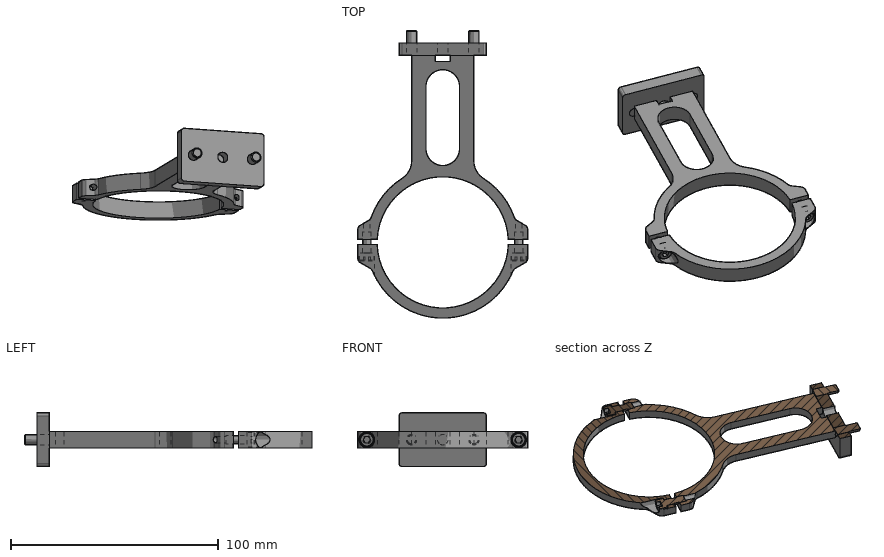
import cadquery as cq
import math

THICKNESS = 8.0
BORE_RADIUS = 31.5
RING_RADIUS = 36.5
BRACKET_SPLIT = 1.5
CAP_SPLIT = 1.0

EAR_HALF_SPAN = 41.0
EAR_SLOPE = math.radians(30)
EAR_FILLET = 3.0
BRACKET_EAR_HEIGHT = 6.0
CAP_EAR_HEIGHT = 8.0

ARM_WIDTH = 30.0
ARM_END = 90.0
ARM_FILLET = 10.0
SLOT_WIDTH = 16.0
SLOT_LENGTH = 46.0
SLOT_CENTRE = 60.0
NOTCH_WIDTH = 7.0
NOTCH_DEPTH = 3.0

PLATE_WIDTH = 42.0
PLATE_HEIGHT = 26.0
PLATE_THICKNESS = 6.0
PLATE_CORNER_RADIUS = 1.5
PLATE_HOLE_DIAMETER = 5.0
PIN_DIAMETER = 5.0
PIN_LENGTH = 12.0
PIN_SPACING = ARM_WIDTH
PIN_CHAMFER = 0.5

SCREW_X = 36.5
SCREW_DIAMETER = 4.0
SCREW_LENGTH = 10.0
HEAD_DIAMETER = 7.0
HEAD_HEIGHT = 4.0
HEAD_CHAMFER = 0.5
SOCKET_ACROSS_FLATS = 3.0
SOCKET_DEPTH = 2.0
SEAT_THICKNESS = 4.0
SCREW_SEAT = -CAP_SPLIT - SEAT_THICKNESS
SCREW_TIP = SCREW_SEAT + SCREW_LENGTH
COUNTERBORE_DIAMETER = 7.5
TAP_DRILL_DIAMETER = 3.0

SIDES = (-1, 1)


def facing_y(x, y):
    """Workplane at (x, y, 0) that looks along +Y, with X kept as its own X."""
    return cq.Workplane(cq.Plane(origin=(x, y, 0), xDir=(1, 0, 0), normal=(0, 1, 0)))


def bar_along_y(diameter, x, y_start, y_end):
    """Round bar parallel to Y at mid thickness."""
    return facing_y(x, y_start).circle(diameter / 2).extrude(y_end - y_start)


def slab(y_start, y_end, width):
    """Block of the ring's thickness, centred on X = 0."""
    block = cq.Workplane("XY").box(width, y_end - y_start, THICKNESS)
    return block.translate((0, (y_start + y_end) / 2, 0))


def fillet_upright_edge(body, x, y, radius):
    """Round the one edge parallel to Z that stands at (x, y)."""
    nearest = cq.selectors.NearestToPointSelector((x, y, 0))
    return body.edges("|Z").edges(nearest).fillet(radius)


def eared_disc(corner_y):
    """Ring blank with two ears on the +Y side, sloping in to the ring from a corner at corner_y."""
    apex_y = corner_y + EAR_HALF_SPAN * math.tan(EAR_SLOPE)
    outline = [
        (-EAR_HALF_SPAN, 0),
        (EAR_HALF_SPAN, 0),
        (EAR_HALF_SPAN, corner_y),
        (0, apex_y),
        (-EAR_HALF_SPAN, corner_y),
    ]
    ears = cq.Workplane("XY").polyline(outline).close().extrude(THICKNESS / 2, both=True)
    disc = cq.Workplane("XY").circle(RING_RADIUS).extrude(THICKNESS / 2, both=True)
    body = disc.union(ears)

    slope_distance = apex_y * math.cos(EAR_SLOPE)
    root_angle = math.pi / 2 - EAR_SLOPE - math.acos(slope_distance / RING_RADIUS)
    root_x = RING_RADIUS * math.cos(root_angle)
    root_y = RING_RADIUS * math.sin(root_angle)
    for side in SIDES:
        body = fillet_upright_edge(body, side * EAR_HALF_SPAN, corner_y, EAR_FILLET)
        body = fillet_upright_edge(body, side * root_x, root_y, EAR_FILLET)
    return body


def half_ring(body, split):
    """Open the bore and keep only what lies beyond Y = split on the +Y side."""
    bore = cq.Workplane("XY").circle(BORE_RADIUS).extrude(THICKNESS / 2, both=True)
    far_half = slab(-RING_RADIUS, split, 2 * EAR_HALF_SPAN)
    return body.cut(bore).cut(far_half)


def make_bracket():
    """Upper half ring carrying the slotted arm."""
    body = eared_disc(BRACKET_SPLIT + BRACKET_EAR_HEIGHT).union(slab(0, ARM_END, ARM_WIDTH))
    arm_root_y = math.sqrt(RING_RADIUS**2 - (ARM_WIDTH / 2) ** 2)
    for side in SIDES:
        body = fillet_upright_edge(body, side * ARM_WIDTH / 2, arm_root_y, ARM_FILLET)
    body = half_ring(body, BRACKET_SPLIT)

    slot = cq.Workplane("XY").center(0, SLOT_CENTRE).slot2D(SLOT_LENGTH, SLOT_WIDTH, 90)
    body = body.cut(slot.extrude(THICKNESS / 2, both=True))
    body = body.cut(slab(ARM_END - NOTCH_DEPTH, ARM_END, NOTCH_WIDTH))

    for side in SIDES:
        body = body.cut(bar_along_y(SCREW_DIAMETER, side * SCREW_X, 0, SCREW_TIP))
        body = body.cut(bar_along_y(TAP_DRILL_DIAMETER, side * SCREW_X, 0, RING_RADIUS))
    return body


def make_cap():
    """Lower half ring with counterbored screw holes."""
    blank = eared_disc(CAP_SPLIT + CAP_EAR_HEIGHT)
    body = half_ring(blank, CAP_SPLIT).mirror("XZ")
    for side in SIDES:
        x = side * SCREW_X
        body = body.cut(bar_along_y(SCREW_DIAMETER, x, SCREW_SEAT, 0))
        body = body.cut(bar_along_y(COUNTERBORE_DIAMETER, x, -RING_RADIUS, SCREW_SEAT))
    return body


def make_plate():
    """Upright end plate with two pin holes and a central hole behind the notch."""
    plate = facing_y(0, ARM_END).rect(PLATE_WIDTH, PLATE_HEIGHT).extrude(PLATE_THICKNESS)
    plate = plate.edges("|Y").fillet(PLATE_CORNER_RADIUS)
    plate_back = ARM_END + PLATE_THICKNESS
    plate = plate.cut(bar_along_y(PLATE_HOLE_DIAMETER, 0, ARM_END, plate_back))
    for side in SIDES:
        plate = plate.cut(bar_along_y(PIN_DIAMETER, side * PIN_SPACING / 2, ARM_END, plate_back))
    return plate


def make_pin(side):
    """Pin flush with the plate's front face and standing out behind it."""
    pin = bar_along_y(PIN_DIAMETER, side * PIN_SPACING / 2, ARM_END, ARM_END + PIN_LENGTH)
    return pin.faces(">Y").chamfer(PIN_CHAMFER)


def make_screw(side):
    """Socket-head screw seated in the cap with its tip in the bracket."""
    x = side * SCREW_X
    head_end = SCREW_SEAT - HEAD_HEIGHT
    head = bar_along_y(HEAD_DIAMETER, x, head_end, SCREW_SEAT)
    head = head.faces("<Y").chamfer(HEAD_CHAMFER)
    socket_across_corners = SOCKET_ACROSS_FLATS / math.cos(math.pi / 6)
    socket = facing_y(x, head_end).polygon(6, socket_across_corners).extrude(SOCKET_DEPTH)
    shank = bar_along_y(SCREW_DIAMETER, x, SCREW_SEAT, SCREW_TIP)
    return head.cut(socket).union(shank)


bracket = make_bracket()
cap = make_cap()
plate = make_plate()
pins = [make_pin(side) for side in SIDES]
screws = [make_screw(side) for side in SIDES]

result = cq.Compound.makeCompound(
    [
        bracket.val(),
        cap.val(),
        plate.val(),
        *[pin.val() for pin in pins],
        *[screw.val() for screw in screws],
    ]
)